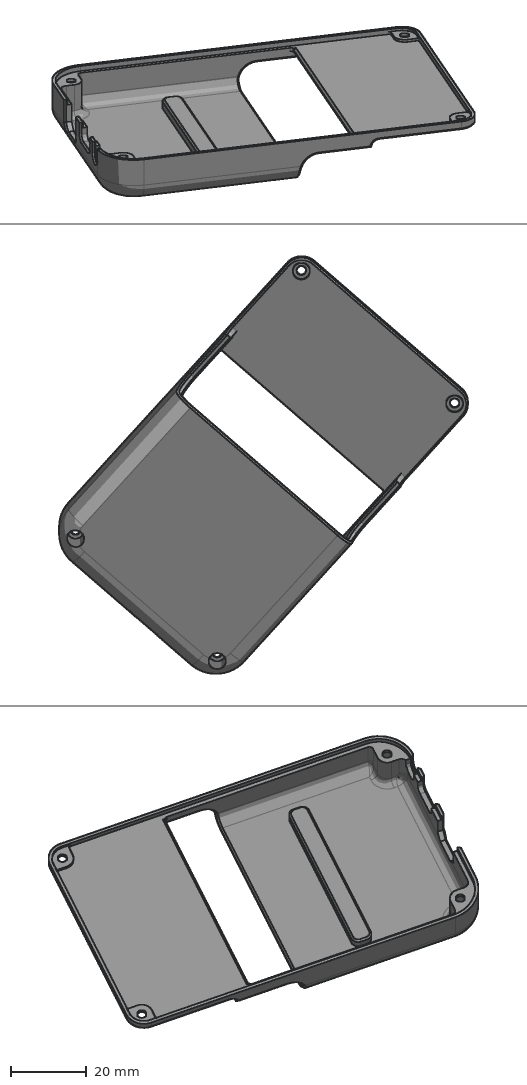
import cadquery as cq
import math

WIDTH = 62.0
LENGTH = 102.0
HEIGHT = 12.3

NORTH_CORNER_RADIUS = 5.0
SOUTH_CORNER_RADIUS = 10.0
BOTTOM_FILLET = 5.0
WALL = 2.0
FLOOR = 1.5
INNER_FILLET = BOTTOM_FILLET - WALL

RIM_WIDTH = 0.9
RECESS_DEPTH = 1.4
LEDGE_Z = HEIGHT - RECESS_DEPTH

PLATE_BOTTOM_Z = HEIGHT - 2.4
RAIL_BOTTOM_Z = HEIGHT - 4.5
STEP_RADIUS = PLATE_BOTTOM_Z - RAIL_BOTTOM_Z
RAIL_NORTH_Y = 21.5
FLOOR_NORTH_Y = 2.1
SWEEP_RADIUS = 5.0
EDGE_CHAMFER = 0.5

WINDOW_NORTH_Y = 17.0
WINDOW_CORNER_RADIUS = 0.8
WINDOW_CHAMFER = 0.6

SCREW_HOLE_DIAMETER = 2.4
SCREW_HEAD_DIAMETER = 4.5
SCREW_SEAT_THICKNESS = 0.9
NORTH_SCREW_INSET = 4.0
SOUTH_SCREW_INSET = 6.0
NORTH_BOSS_RADIUS = 3.0
SOUTH_BOSS_RADIUS = 2.8
NORTH_BOSS_RISE = 0.7
NORTH_BOSS_BLEND = 0.5
SOUTH_BOSS_SIDE_BLEND = 1.0
SOUTH_BOSS_END_BLEND = 1.8
SOUTH_BOSS_BASE_FILLET = 1.9

RIB_LENGTH = 45.9
RIB_WIDTH = 5.6
RIB_HEIGHT = 2.4
RIB_Y = -18.3
RIB_CORNER_RADIUS = 1.9
RIB_CHAMFER = 0.5
RIB_ROOT = 0.5

LARGE_PORT = (-5.3, 10.7, 4.0)
LARGE_PORT_BEVEL = 1.9
FLAT_PORT = (9.0, 9.2, 7.6)
FLAT_PORT_RADIUS = 1.5
ROUND_PORT = (18.8, 4.0, 7.2)
ROUND_PORT_RELIEF_WIDTH = 5.0
ROUND_PORT_LIP = 0.8
PORT_CHAMFER = 0.5
PORT_DEPTH = 3.1

OVERCUT = 5.1
MARGIN = 0.1

half_width = WIDTH / 2
half_length = LENGTH / 2
pocket_half_width = half_width - WALL
pocket_south_y = WALL - half_length
sweep_north_y = FLOOR_NORTH_Y + SWEEP_RADIUS
north_boss_z = LEDGE_Z + NORTH_BOSS_RISE
port_inner_y = PORT_DEPTH - half_length
step_north_y = RAIL_NORTH_Y + STEP_RADIUS


def box(x0, x1, y0, y1, z0, z1):
    """Axis-aligned block between the given limits."""
    return cq.Workplane("XY").box(x1 - x0, y1 - y0, z1 - z0, centered=False).translate((x0, y0, z0))


def shell_outline(inset, z0, z1):
    """Prism of the rounded plan outline, moved inwards by inset."""
    x = half_width - inset
    y = half_length - inset
    return (
        box(-x, x, -y, y, z0, z1)
        .edges("|Z and >Y").fillet(NORTH_CORNER_RADIUS - inset)
        .edges("|Z and <Y").fillet(SOUTH_CORNER_RADIUS - inset)
    )


def screw_positions(inset, end):
    """Pair of screw centres at the north (end = 1) or south (end = -1) corners."""
    return [(side * (half_width - inset), end * (half_length - inset)) for side in (-1, 1)]


def without_bosses(prism, inset, end, radius, z0, z1):
    """Cut a pair of rounded corner bosses, each around its screw centre, out of a cavity prism."""
    reach = SOUTH_CORNER_RADIUS + OVERCUT
    for x, y in screw_positions(inset, end):
        side = math.copysign(1, x)
        inner_x = x - side * radius
        inner_y = y - end * radius
        x0, x1 = sorted((inner_x, inner_x + side * reach))
        y0, y1 = sorted((inner_y, inner_y + end * reach))
        boss = box(x0, x1, y0, y1, z0, z1)
        inner_edge = cq.NearestToPointSelector((inner_x, inner_y, (z0 + z1) / 2))
        prism = prism.cut(boss.edges(inner_edge).fillet(radius))
    return prism


def edges_centred_at(points):
    """Selector for the edges whose centres lie at any of the given points."""
    boxes = [
        cq.selectors.BoxSelector(
            (x - MARGIN, y - MARGIN, z - MARGIN),
            (x + MARGIN, y + MARGIN, z + MARGIN),
        )
        for x, y, z in points
    ]
    selector = boxes[0]
    for extra in boxes[1:]:
        selector = selector + extra
    return selector


def underside_outer_edges():
    """Selector for the outer edges of the stepped underside."""
    x = half_width + MARGIN
    y = half_length + MARGIN
    stepped = cq.selectors.BoxSelector(
        (-x, FLOOR_NORTH_Y - MARGIN, -MARGIN),
        (x, y, PLATE_BOTTOM_Z + MARGIN),
    )
    crossing = cq.selectors.BoxSelector(
        (-MARGIN, FLOOR_NORTH_Y + MARGIN, MARGIN),
        (MARGIN, half_length - MARGIN, HEIGHT),
    )
    return stepped - crossing


def floor_end_inner_edges():
    """Selector for the inner edges of the floor end and of the side walls sweeping up from it."""
    x = pocket_half_width + MARGIN
    return cq.selectors.BoxSelector(
        (-x, FLOOR_NORTH_Y - MARGIN, FLOOR - MARGIN),
        (x, sweep_north_y - MARGIN, RAIL_BOTTOM_Z + MARGIN),
    )


def port_mouth_edges(port):
    """Selector for the edges of a port on the outer face of the south wall."""
    x, width, bottom = port
    return cq.selectors.BoxSelector(
        (x - width / 2 - MARGIN, -half_length - MARGIN, bottom - MARGIN),
        (x + width / 2 + MARGIN, PORT_CHAMFER - half_length, HEIGHT - MARGIN),
    )


def make_body():
    """Rounded block with filleted bottom edges and the stepped underside cut away."""
    block = (
        box(-half_width, half_width, -half_length, half_length + 2 * BOTTOM_FILLET, 0, HEIGHT)
        .edges("|Z and <Y").fillet(SOUTH_CORNER_RADIUS)
    )
    block = block.edges("<Z and (not >Y)").fillet(BOTTOM_FILLET)
    block = block.intersect(shell_outline(0, 0, HEIGHT))
    clearance = (
        cq.Workplane("YZ")
        .moveTo(half_length + OVERCUT, -OVERCUT)
        .lineTo(half_length + OVERCUT, PLATE_BOTTOM_Z)
        .lineTo(step_north_y, PLATE_BOTTOM_Z)
        .radiusArc((RAIL_NORTH_Y, RAIL_BOTTOM_Z), -STEP_RADIUS)
        .lineTo(sweep_north_y, RAIL_BOTTOM_Z)
        .radiusArc((FLOOR_NORTH_Y, RAIL_BOTTOM_Z - SWEEP_RADIUS), -SWEEP_RADIUS)
        .lineTo(FLOOR_NORTH_Y, -OVERCUT)
        .close()
        .extrude(half_width + OVERCUT, both=True)
    )
    block = block.cut(clearance)
    return block.edges(underside_outer_edges()).chamfer(EDGE_CHAMFER)


def make_recess():
    """Lid recess, with raised bosses left standing in its north corners."""
    lower = shell_outline(RIM_WIDTH, LEDGE_Z, north_boss_z)
    lower = without_bosses(lower, NORTH_SCREW_INSET, 1, NORTH_BOSS_RADIUS, LEDGE_Z, north_boss_z)
    rim_x = half_width - RIM_WIDTH
    rim_y = half_length - RIM_WIDTH
    boss_x = half_width - NORTH_SCREW_INSET - NORTH_BOSS_RADIUS
    boss_y = half_length - NORTH_SCREW_INSET - NORTH_BOSS_RADIUS
    middle_z = (LEDGE_Z + north_boss_z) / 2
    junctions = [(side * x, y, middle_z) for side in (-1, 1) for x, y in ((rim_x, boss_y), (boss_x, rim_y))]
    lower = lower.edges(edges_centred_at(junctions)).fillet(NORTH_BOSS_BLEND)
    return lower.union(shell_outline(RIM_WIDTH, north_boss_z, HEIGHT))


def make_pocket():
    """Deep pocket from the ledge to the floor, running from the south wall to the window.

    It is the common part of three prisms: a trough filleted along the outer walls, a
    plan outline with the boss corners left out, and one whose bosses flare out at the
    base. The corners where the bosses meet the walls are then blended.
    """
    x = pocket_half_width
    trough = box(-x, x, pocket_south_y, WINDOW_NORTH_Y, FLOOR, LEDGE_Z)
    trough = trough.edges("<Z and (not >Y)").fillet(INNER_FILLET)

    walls = box(-x, x, pocket_south_y, WINDOW_NORTH_Y, FLOOR, LEDGE_Z)
    walls = without_bosses(walls, SOUTH_SCREW_INSET, -1, SOUTH_BOSS_RADIUS, FLOOR, LEDGE_Z)
    walls = walls.edges("|Z and >Y").fillet(WINDOW_CORNER_RADIUS)
    flare = box(-half_width, half_width, -half_length, WINDOW_NORTH_Y, FLOOR, LEDGE_Z)
    flare = without_bosses(flare, SOUTH_SCREW_INSET, -1, SOUTH_BOSS_RADIUS, FLOOR, LEDGE_Z)
    outer = "<X or >X or <Y or >Y"
    flare = flare.edges(f"<Z and (not ({outer}))").fillet(SOUTH_BOSS_BASE_FILLET)
    pocket = trough.intersect(walls).intersect(flare)

    boss_x = half_width - SOUTH_SCREW_INSET - SOUTH_BOSS_RADIUS
    boss_y = SOUTH_SCREW_INSET + SOUTH_BOSS_RADIUS - half_length
    middle_z = (FLOOR + INNER_FILLET + LEDGE_Z) / 2
    sides = [(side * x, boss_y, middle_z) for side in (-1, 1)]
    ends = [(side * boss_x, pocket_south_y, middle_z) for side in (-1, 1)]
    pocket = pocket.edges(edges_centred_at(sides)).fillet(SOUTH_BOSS_SIDE_BLEND)
    return pocket.edges(edges_centred_at(ends)).fillet(SOUTH_BOSS_END_BLEND)


def make_window_chamfer():
    """Wedge that bevels the top of the window's north edge."""
    x = pocket_half_width - WINDOW_CORNER_RADIUS / 2
    return (
        cq.Workplane("YZ")
        .moveTo(WINDOW_NORTH_Y - WINDOW_CHAMFER, LEDGE_Z)
        .lineTo(WINDOW_NORTH_Y + WINDOW_CHAMFER, LEDGE_Z)
        .lineTo(WINDOW_NORTH_Y, LEDGE_Z - WINDOW_CHAMFER)
        .lineTo(WINDOW_NORTH_Y - WINDOW_CHAMFER, LEDGE_Z - WINDOW_CHAMFER)
        .close()
        .extrude(x, both=True)
    )


def make_rib():
    """Low bar across the floor with rounded corners and a chamfered top."""
    x = RIB_LENGTH / 2
    y = RIB_WIDTH / 2
    return (
        box(-x, x, RIB_Y - y, RIB_Y + y, FLOOR - RIB_ROOT, FLOOR + RIB_HEIGHT)
        .edges("|Z").fillet(RIB_CORNER_RADIUS)
        .faces(">Z").edges().chamfer(RIB_CHAMFER)
    )


def port_cutter(x, width, bottom, outer_y=-half_length - OVERCUT):
    """Straight-sided opening through the south wall, open at the top."""
    half = width / 2
    return box(x - half, x + half, outer_y, port_inner_y, bottom, HEIGHT + OVERCUT)


def round_port_cutter(width, outer_y):
    """Opening with a half-round bottom, centred on the round port."""
    x, mouth_width, bottom = ROUND_PORT
    centre_z = bottom + mouth_width / 2
    bore = (
        cq.Workplane("XZ", origin=(x, port_inner_y, centre_z))
        .circle(width / 2).extrude(port_inner_y - outer_y)
    )
    return port_cutter(x, width, centre_z, outer_y).union(bore)


def make_ports():
    """Cutters for a bevelled, a round-cornered and a round-bottomed port."""
    lower_corners = "|Y and <Z"
    large = port_cutter(*LARGE_PORT).edges(lower_corners).chamfer(LARGE_PORT_BEVEL)
    flat = port_cutter(*FLAT_PORT).edges(lower_corners).fillet(FLAT_PORT_RADIUS)
    mouth = round_port_cutter(ROUND_PORT[1], -half_length - OVERCUT)
    relief = round_port_cutter(ROUND_PORT_RELIEF_WIDTH, ROUND_PORT_LIP - half_length)
    return large.union(flat).union(mouth).union(relief)


def make_underside_relief():
    """Space between the side rails, which leaves the plate flat from the step to the window."""
    x = pocket_half_width
    return box(-x, x, sweep_north_y, step_north_y, 0, PLATE_BOTTOM_Z)


def make_screw_holes():
    """Screw holes through the bosses, with head recesses sunk from the underside."""
    ends = (
        (screw_positions(NORTH_SCREW_INSET, 1), north_boss_z),
        (screw_positions(SOUTH_SCREW_INSET, -1), LEDGE_Z),
    )
    holes = cq.Workplane("XY")
    for centres, boss_top_z in ends:
        plan = cq.Workplane("XY").pushPoints(centres)
        holes = holes.add(plan.circle(SCREW_HOLE_DIAMETER / 2).extrude(HEIGHT))
        seat_z = boss_top_z - SCREW_SEAT_THICKNESS
        holes = holes.add(plan.circle(SCREW_HEAD_DIAMETER / 2).extrude(seat_z))
    return holes.combine()


case = make_body().cut(make_recess()).cut(make_pocket())
case = case.cut(make_window_chamfer()).cut(make_underside_relief())
case = case.edges(floor_end_inner_edges()).chamfer(EDGE_CHAMFER)
case = case.union(make_rib())
case = case.cut(make_ports())
for port in (LARGE_PORT, FLAT_PORT, ROUND_PORT):
    case = case.edges(port_mouth_edges(port)).chamfer(PORT_CHAMFER)
result = case.cut(make_screw_holes())